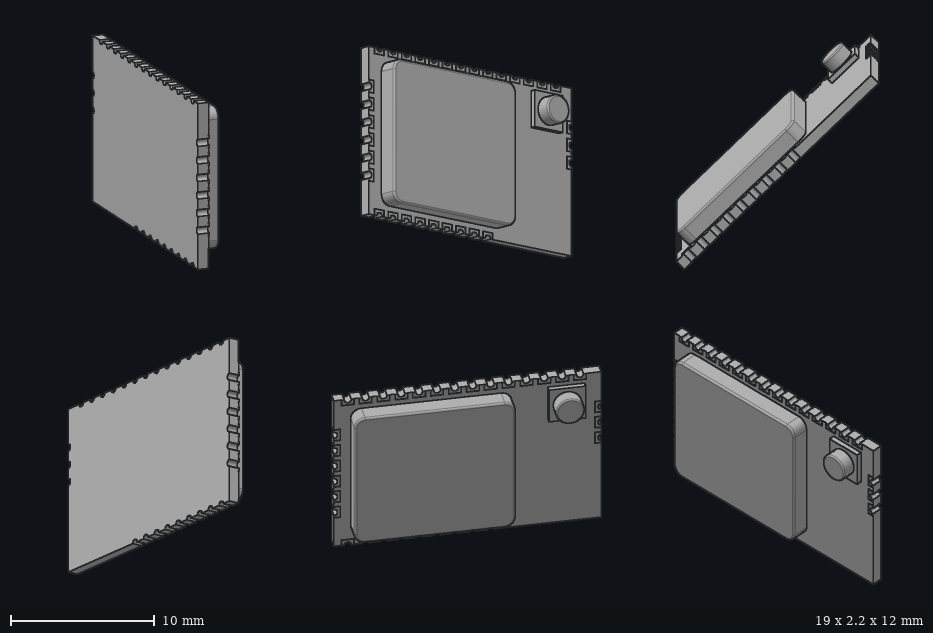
import cadquery as cq

board_width = 19.0
board_height = 12.0
board_thickness = 0.8

notch_diameter = 0.5
pad_width = 0.9
pad_depth = 0.45
pad_thickness = 0.04
top_count = 14
bottom_count = 9
right_count = 6
left_count = 3
side_first_from_top = 2.85
top_first_x = 1.52
top_row_span = 16.5
pitch = top_row_span / (top_count - 1)

shield_left = 6.36
shield_width = 11.44
shield_height = 10.28
shield_top_y = 2.1
shield_corner_radius = 0.76
shield_edge_radius = 0.15

connector_x = 2.49
connector_from_top = 2.1
connector_base_side = 2.62
connector_base_y = 1.2
connector_diameter = 2.01
connector_top_y = 2.2
connector_edge_radius = 0.11


def box(x_center, z_center, width, height, y_start, y_end):
    """Rectangular block centred on (x, z), spanning y_start to y_end."""
    depth = y_end - y_start
    center = (x_center, (y_start + y_end) / 2, z_center)
    return cq.Workplane("XY").box(width, depth, height).translate(center)


def rod(x_center, z_center, diameter, y_start, y_end):
    """Cylinder along Y centred on (x, z), spanning y_start to y_end."""
    axis = cq.Vector(0, 1, 0)
    base = cq.Vector(x_center, y_start, z_center)
    return cq.Workplane(cq.Solid.makeCylinder(diameter / 2, y_end - y_start, base, axis))


def contact_points():
    """Notch centres on the top and bottom edges, then on the left and right edges."""
    top_xs = [top_first_x + i * pitch for i in range(top_count)]
    bottom_xs = top_xs[-bottom_count:]
    side_first_z = board_height - side_first_from_top
    right_zs = [side_first_z - i * pitch for i in range(right_count)]
    left_zs = right_zs[:left_count]
    horizontal = [(x, board_height) for x in top_xs] + [(x, 0) for x in bottom_xs]
    vertical = [(0, z) for z in left_zs] + [(board_width, z) for z in right_zs]
    return horizontal, vertical


def make_board():
    """Plate with edge pads, cut by the contact notches."""
    center_x = board_width / 2
    center_z = board_height / 2
    pad_top_y = board_thickness + pad_thickness
    board = box(center_x, center_z, board_width, board_height, 0, board_thickness)
    outline = box(center_x, center_z, board_width, board_height, 0, pad_top_y)
    horizontal, vertical = contact_points()

    for x, z in horizontal:
        board = board.union(box(x, z, pad_width, 2 * pad_depth, 0, pad_top_y))
    for x, z in vertical:
        board = board.union(box(x, z, 2 * pad_depth, pad_width, 0, pad_top_y))
    board = board.intersect(outline)

    for x, z in horizontal + vertical:
        board = board.cut(rod(x, z, notch_diameter, 0, pad_top_y))
    return board


def make_shield():
    """Can with rounded corners and a softened outer rim."""
    center_x = shield_left + shield_width / 2
    center_z = board_height / 2
    shield = box(center_x, center_z, shield_width, shield_height, board_thickness, shield_top_y)
    return shield.edges("|Y").fillet(shield_corner_radius).faces(">Y").edges().fillet(shield_edge_radius)


def make_connector():
    """Square base carrying a round barrel with a softened outer rim."""
    z = board_height - connector_from_top
    base = box(connector_x, z, connector_base_side, connector_base_side, board_thickness, connector_base_y)
    barrel = rod(connector_x, z, connector_diameter, connector_base_y, connector_top_y)
    return base.union(barrel.faces(">Y").edges().fillet(connector_edge_radius))


result = make_board().union(make_shield()).union(make_connector())